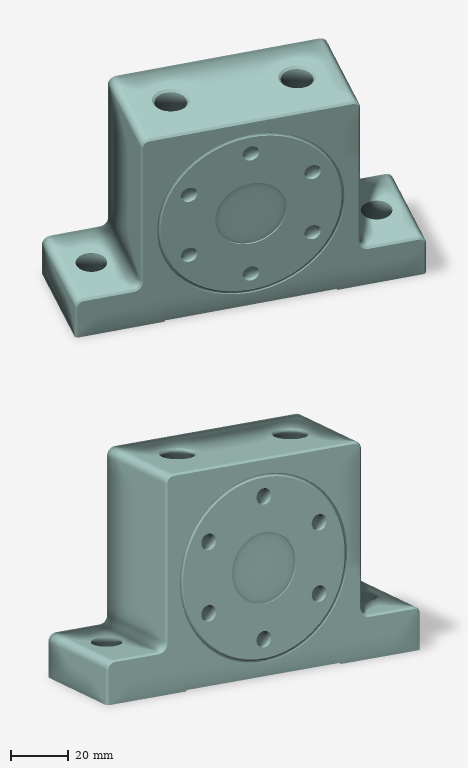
import cadquery as cq
import math

WIDTH = 40.0
FOOT_LENGTH = 128.0
FOOT_HEIGHT = 16.0
BLOCK_LENGTH = 80.0
HEIGHT = 80.0
CORNER_RADIUS = 3.0
EDGE_CHAMFER = 0.7

RELIEF_LENGTH = 63.0
RELIEF_DEPTH = 0.5

MOUNT_HOLE_DIAMETER = 11.0
MOUNT_HOLE_SPACING = 104.0

AXIS_HEIGHT = HEIGHT / 2
CHAMBER_DIAMETER = 66.0
CORE_DIAMETER = 60.0
CHAMBER_WIDTH = 18.0

GROOVE_OUTER_DIAMETER = 68.4
COVER_DIAMETER = 67.4
COVER_FACE_DIAMETER = 66.0
GROOVE_DEPTH = (COVER_DIAMETER - COVER_FACE_DIAMETER) / 2
SCREW_HOLE_COUNT = 6
SCREW_HOLE_DIAMETER = 6.0
SCREW_CIRCLE_DIAMETER = 52.0
SCREW_HOLE_DEPTH = 5.0
RECESS_DIAMETER = 26.0
RECESS_DEPTH = 0.5

PORT_DIAMETER = 11.45
PORT_MOUTH_DIAMETER = 13.16
PORT_SPACING = 46.0
PORT_DEPTH = 15.8
NOZZLE_DIAMETER = 5.5
NOZZLE_DEPTH = 20.0

DRILL_POINT_ANGLE = 118.0
BEVEL_ANGLE = 45.0


def drill_point_length(diameter):
    return diameter / 2 / math.tan(math.radians(DRILL_POINT_ANGLE / 2))


def drill(diameter, depth):
    """Blind drilled hole along -Z from the origin, with a conical bottom."""
    radius = diameter / 2
    tip_depth = depth + drill_point_length(diameter)
    return (
        cq.Workplane("XZ")
        .polyline([(0, 0), (radius, 0), (radius, -depth), (0, -tip_depth)])
        .close()
        .revolve(360, (0, 0), (0, 1))
    )


def disc(diameter, x_start, length, taper=0.0):
    """Disc on the rotor axis, running in +X from x_start. A negative taper widens it."""
    return (
        cq.Workplane("YZ", origin=(x_start, 0, AXIS_HEIGHT))
        .circle(diameter / 2)
        .extrude(length, taper=taper)
    )


def make_housing():
    foot = cq.Workplane("XY").box(WIDTH, FOOT_LENGTH, FOOT_HEIGHT, centered=(True, True, False))
    block = cq.Workplane("XY").box(WIDTH, BLOCK_LENGTH, HEIGHT, centered=(True, True, False))
    housing = foot.union(block).edges("|X and (not <Z)").fillet(CORNER_RADIUS)
    return housing.faces("<X or >X").edges("not <Z").chamfer(EDGE_CHAMFER)


def make_foot_relief():
    return cq.Workplane("XY").box(WIDTH, RELIEF_LENGTH, RELIEF_DEPTH, centered=(True, True, False))


def make_mounting_holes():
    return (
        cq.Workplane("XY")
        .rarray(1, MOUNT_HOLE_SPACING, 1, 2)
        .circle(MOUNT_HOLE_DIAMETER / 2)
        .extrude(FOOT_HEIGHT)
    )


def make_cover_cuts():
    """Everything cut into the -X cover."""
    face_x = -WIDTH / 2
    cover_edge = disc(COVER_FACE_DIAMETER, face_x, GROOVE_DEPTH, taper=-BEVEL_ANGLE)
    cuts = disc(GROOVE_OUTER_DIAMETER, face_x, GROOVE_DEPTH).cut(cover_edge)
    cuts = cuts.union(disc(RECESS_DIAMETER, face_x, RECESS_DEPTH))

    screw_hole = (
        drill(SCREW_HOLE_DIAMETER, SCREW_HOLE_DEPTH)
        .rotate((0, 0, 0), (0, 1, 0), -90)
        .translate((face_x, 0, AXIS_HEIGHT + SCREW_CIRCLE_DIAMETER / 2))
    )
    for index in range(SCREW_HOLE_COUNT):
        angle = index * 360 / SCREW_HOLE_COUNT
        cuts = cuts.union(screw_hole.rotate((0, 0, AXIS_HEIGHT), (1, 0, AXIS_HEIGHT), angle))
    return cuts


def make_port():
    """Chamfered, drilled port with a nozzle bore leading into the chamber."""
    mouth_depth = (PORT_MOUTH_DIAMETER - PORT_DIAMETER) / 2
    mouth = (
        cq.Workplane("XY")
        .circle(PORT_MOUTH_DIAMETER / 2)
        .extrude(-mouth_depth, taper=BEVEL_ANGLE)
    )
    nozzle = cq.Workplane("XY").circle(NOZZLE_DIAMETER / 2).extrude(-NOZZLE_DEPTH)
    return drill(PORT_DIAMETER, PORT_DEPTH).union(mouth).union(nozzle)


chamber = disc(CHAMBER_DIAMETER, -CHAMBER_WIDTH / 2, CHAMBER_WIDTH)
core = disc(CORE_DIAMETER, -CHAMBER_WIDTH / 2, CHAMBER_WIDTH)
cover_cuts = make_cover_cuts()

result = make_housing().cut(make_foot_relief()).cut(make_mounting_holes()).cut(chamber)
result = result.cut(cover_cuts).cut(cover_cuts.mirror("YZ"))
for port_y in (-PORT_SPACING / 2, PORT_SPACING / 2):
    result = result.cut(make_port().translate((0, port_y, HEIGHT)))

result = result.union(core)